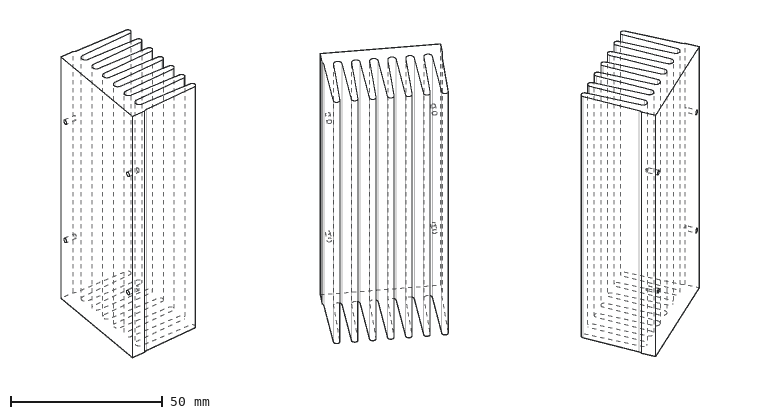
import cadquery as cq
import math

width = 40.0
depth = 27.0
length = 100.0

base_thickness = 5.0
fin_count = 7
fin_pitch = 6.0
tip_radius = 1.1
root_radius = 1.4
outer_flank_end = 6.1

hole_diameter = 1.6
hole_depth = 4.0
drill_point_angle = 118.0
hole_spacing_x = 35.0
hole_spacing_z = 49.0

half_pitch = fin_pitch / 2
tip_center_y = depth - tip_radius
root_center_y = base_thickness + root_radius
center_rise = tip_center_y - root_center_y
flank_angle = math.atan2(half_pitch, center_rise) - math.asin(
    (tip_radius + root_radius) / math.hypot(half_pitch, center_rise)
)

tip_x = tip_radius * math.cos(flank_angle)
tip_y = tip_center_y + tip_radius * math.sin(flank_angle)
root_x = half_pitch - root_radius * math.cos(flank_angle)
root_y = root_center_y - root_radius * math.sin(flank_angle)

fin_centers = [(i - (fin_count - 1) / 2) * fin_pitch for i in range(fin_count)]

half_width = width / 2
outer_x = fin_centers[-1] + tip_x + (tip_y - outer_flank_end) * math.tan(flank_angle)
arc_width = half_width - outer_x
arc_height = outer_flank_end - base_thickness
chord_angle = math.atan2(arc_width, arc_height)
bulge = math.tan((chord_angle - flank_angle) / 2) / 2
arc_middle_x = outer_x + arc_width / 2 - bulge * arc_height
arc_middle_y = outer_flank_end - arc_height / 2 - bulge * arc_width


def make_profile():
    """Comb cross-section, drawn from the left base side over the fins to the right one."""
    outline = (
        cq.Workplane("XY")
        .moveTo(-half_width, 0)
        .lineTo(-half_width, base_thickness)
        .threePointArc((-arc_middle_x, arc_middle_y), (-outer_x, outer_flank_end))
    )
    for x in fin_centers:
        outline = outline.lineTo(x - tip_x, tip_y)
        outline = outline.threePointArc((x, depth), (x + tip_x, tip_y))
        if x != fin_centers[-1]:
            slot_bottom = (x + half_pitch, base_thickness)
            outline = outline.lineTo(x + root_x, root_y)
            outline = outline.threePointArc(slot_bottom, (x + fin_pitch - root_x, root_y))
    return (
        outline.lineTo(outer_x, outer_flank_end)
        .threePointArc((arc_middle_x, arc_middle_y), (half_width, base_thickness))
        .lineTo(half_width, 0)
        .close()
    )


def make_hole(x, z):
    """Blind hole running along +Y from the flat face, with a conical drill point."""
    radius = hole_diameter / 2
    point_depth = hole_depth + radius / math.tan(math.radians(drill_point_angle / 2))
    return (
        cq.Workplane("XY")
        .polyline([(0, 0), (radius, 0), (radius, hole_depth), (0, point_depth)])
        .close()
        .revolve(360, (0, 0, 0), (0, 1, 0))
        .translate((x, 0, z))
    )


result = make_profile().extrude(length)
for hole_x in (-hole_spacing_x / 2, hole_spacing_x / 2):
    for hole_z in ((length - hole_spacing_z) / 2, (length + hole_spacing_z) / 2):
        result = result.cut(make_hole(hole_x, hole_z))